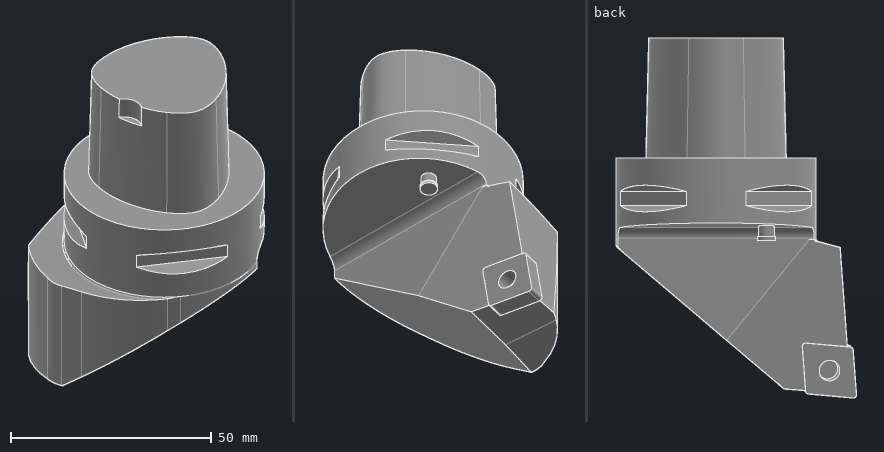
import cadquery as cq
import math

SHANK_HEIGHT = 30.0
SHANK_BASE_RADIUS = 17.55
SHANK_TOP_RADIUS = 16.8
LOBE_HEIGHT = 1.35
LOBE_COUNT = 3
LOBE_HALF_ANGLE = 37
SPLINE_SPANS = 6
KEYWAY_RADIUS = 4.4
KEYWAY_CENTER_Y = -18.2
KEYWAY_DEPTH = 5.5

FLANGE_RADIUS = 50.0 / 2
FLANGE_BOTTOM = -20.4
NECK_FILLET = 0.45
SHOULDER_ANGLE = 15
GRIP_FLOOR_DISTANCE = 22.1
GRIP_CENTER_Z = -10.2
GRIP_ANGLES = (45, 135, 225, 315)
GRIP_FLOOR_WIDTH = 3.5
GRIP_MOUTH_WIDTH = 6.7

BACK_Y = 5.0
RELIEF_FILLET = 2.7
RELIEF_INNER_Z = -17.55
RELIEF_OUTER_Z = -16.3

HEAD_BOTTOM = -63
HEAD_FRONT_Y = -28.5
HEAD_RIGHT_START = (17.0, -18.4)
HEAD_RIGHT_ARC_START = (14.6, -20.5)
HEAD_RIGHT_ARC_MIDDLE = (5.0, -26.5)
HEAD_FRONT_RIGHT_X = -5.9
HEAD_FRONT_LEFT_X = -12.0
HEAD_BLEND_MIDDLE = (-14.6, -28.2)
HEAD_BLEND_END = (-17.0, -27.1)
HEAD_LEFT_ARC_MIDDLE = (-29.2, -17.4)
HEAD_LEFT_ARC_END = (-33.3, -10.1)
HEAD_LEFT_X = -37.8
FLANK_POINT = (-31.05, 3.8, -22.8)
FLANK_NORMAL = (-1, -0.085, 0.082)
RAKE_POINT = (-17.0, 1.8, -57.8)
RAKE_NORMAL = (-0.133, 1, -0.109)
END_POINT = (-17.0, 1.7, -57.8)
END_NORMAL = (0.09, -0.126, -1)
END_RELIEF_POINT = (-17.0, -27.1, -53.4)
END_RELIEF_NORMAL = (0.09, -0.188, -1)
SLOPE_NORMAL = (0.85, -0.02, -1)

NOZZLE_X = -12.6
NOZZLE_Y = 13.1
NOZZLE_DIAMETER = 4.0
NOZZLE_TIP_DIAMETER = 4.4
NOZZLE_TIP_TOP = -19.7
NOZZLE_END = -20.6

INSERT_SIDE = 12.9
INSERT_ANGLE = 80
INSERT_THICKNESS = 4.8
INSERT_CORNER_RADIUS = 0.8
INSERT_HOLE_DIAMETER = 5.1
CUTTING_REACH_X = -35.1
CUTTING_REACH_Z = -60.0
CORNER_LOSS_X = 0.068
CORNER_LOSS_Z = 0.083
INSERT_CORNER = (CUTTING_REACH_X - CORNER_LOSS_X, 0, CUTTING_REACH_Z - CORNER_LOSS_Z)
INSERT_TILT = 0.105
INSERT_LEAD = 0.09

BLOCK = 180


def material_beyond(point, normal):
    """Large block on the outer side of a plane, for trimming."""
    return cq.Workplane(cq.Plane(origin=point, normal=normal)).rect(BLOCK, BLOCK).extrude(BLOCK)


def trilobe_point(mean_radius, angle, z):
    """Point of the constant-width outline whose outward normal has this angle."""
    reach = mean_radius - LOBE_HEIGHT * math.sin(LOBE_COUNT * angle)
    shift = -LOBE_COUNT * LOBE_HEIGHT * math.cos(LOBE_COUNT * angle)
    return cq.Vector(
        reach * math.cos(angle) - shift * math.sin(angle),
        reach * math.sin(angle) + shift * math.cos(angle),
        z,
    )


def trilobe_edge(mean_radius, start, end, z):
    angles = [start + (end - start) * i / SPLINE_SPANS for i in range(SPLINE_SPANS + 1)]
    points = [trilobe_point(mean_radius, angle, z) for angle in angles]
    tangents = [cq.Vector(-math.sin(angle), math.cos(angle), 0) for angle in (start, end)]
    return cq.Edge.makeSpline(points, tangents=tangents)


def trilobe_wire(mean_radius, z):
    """Closed outline of lobes and flatter sides, with one lobe pointing to +Y."""
    pitch = 2 * math.pi / LOBE_COUNT
    half_lobe = math.radians(LOBE_HALF_ANGLE)
    edges = []
    for i in range(LOBE_COUNT):
        lobe_angle = math.pi / 2 + i * pitch
        lobe_end = lobe_angle + half_lobe
        next_lobe_start = lobe_angle + pitch - half_lobe
        edges.append(trilobe_edge(mean_radius, lobe_angle - half_lobe, lobe_end, z))
        edges.append(trilobe_edge(mean_radius, lobe_end, next_lobe_start, z))
    return cq.Wire.assembleEdges(edges)


def make_shank():
    base = trilobe_wire(SHANK_BASE_RADIUS, 0)
    top = trilobe_wire(SHANK_TOP_RADIUS, SHANK_HEIGHT)
    shank = cq.Workplane(cq.Solid.makeLoft([base, top]))
    keyway = (
        cq.Workplane("XY", origin=(0, KEYWAY_CENTER_Y, SHANK_HEIGHT - KEYWAY_DEPTH))
        .circle(KEYWAY_RADIUS)
        .extrude(KEYWAY_DEPTH)
    )
    return shank.cut(keyway)


def make_gripper_groove(angle):
    floor = GRIP_FLOOR_WIDTH / 2
    mouth = GRIP_MOUTH_WIDTH / 2
    return (
        cq.Workplane("XZ", origin=(0, 0, GRIP_CENTER_Z))
        .moveTo(GRIP_FLOOR_DISTANCE, -floor)
        .lineTo(FLANGE_RADIUS, -mouth)
        .lineTo(FLANGE_RADIUS, mouth)
        .lineTo(GRIP_FLOOR_DISTANCE, floor)
        .close()
        .extrude(FLANGE_RADIUS, both=True)
        .rotate((0, 0, 0), (0, 0, 1), angle)
    )


def make_flange():
    flange = cq.Workplane("XY").circle(FLANGE_RADIUS).extrude(FLANGE_BOTTOM)
    for angle in GRIP_ANGLES:
        flange = flange.cut(make_gripper_groove(angle))
    relief = (
        cq.Workplane("YZ")
        .moveTo(BACK_Y, HEAD_BOTTOM)
        .lineTo(BACK_Y, RELIEF_INNER_Z)
        .lineTo(FLANGE_RADIUS, RELIEF_OUTER_Z)
        .lineTo(FLANGE_RADIUS, HEAD_BOTTOM)
        .close()
        .extrude(BLOCK / 2, both=True)
        .edges(cq.selectors.NearestToPointSelector((0, BACK_Y, RELIEF_INNER_Z)))
        .fillet(RELIEF_FILLET)
    )
    return flange.cut(relief)


def make_head_envelope():
    """Space below the neck fillet and the conical shoulder."""
    neck_radius = FLANGE_RADIUS + NECK_FILLET
    neck_bottom = FLANGE_BOTTOM - NECK_FILLET
    rim_radius = 2 * FLANGE_RADIUS
    rim_z = neck_bottom - (rim_radius - neck_radius) * math.tan(math.radians(SHOULDER_ANGLE))
    fillet_middle = NECK_FILLET * (1 - math.sqrt(0.5))
    return (
        cq.Workplane("XZ")
        .moveTo(0, FLANGE_BOTTOM)
        .lineTo(FLANGE_RADIUS, FLANGE_BOTTOM)
        .threePointArc(
            (FLANGE_RADIUS + fillet_middle, neck_bottom + fillet_middle),
            (neck_radius, neck_bottom),
        )
        .lineTo(rim_radius, rim_z)
        .lineTo(rim_radius, HEAD_BOTTOM)
        .lineTo(0, HEAD_BOTTOM)
        .close()
        .revolve(360, (0, 0, 0), (0, 1, 0))
    )


def make_head():
    back_x = math.sqrt(FLANGE_RADIUS**2 - BACK_Y**2)
    head = (
        cq.Workplane("XY", origin=(0, 0, FLANGE_BOTTOM))
        .moveTo(HEAD_LEFT_X, BACK_Y)
        .lineTo(back_x, BACK_Y)
        .threePointArc((FLANGE_RADIUS, 0), HEAD_RIGHT_START)
        .lineTo(*HEAD_RIGHT_ARC_START)
        .threePointArc(HEAD_RIGHT_ARC_MIDDLE, (HEAD_FRONT_RIGHT_X, HEAD_FRONT_Y))
        .lineTo(HEAD_FRONT_LEFT_X, HEAD_FRONT_Y)
        .threePointArc(HEAD_BLEND_MIDDLE, HEAD_BLEND_END)
        .threePointArc(HEAD_LEFT_ARC_MIDDLE, HEAD_LEFT_ARC_END)
        .lineTo(HEAD_LEFT_X, 0)
        .close()
        .extrude(HEAD_BOTTOM - FLANGE_BOTTOM)
        .intersect(make_head_envelope())
    )
    trims = (
        (FLANK_POINT, FLANK_NORMAL),
        (RAKE_POINT, RAKE_NORMAL),
        (END_POINT, END_NORMAL),
        (END_RELIEF_POINT, END_RELIEF_NORMAL),
        (END_POINT, SLOPE_NORMAL),
    )
    for point, normal in trims:
        head = head.cut(material_beyond(point, normal))
    return head


def make_nozzle():
    embed_z = GRIP_CENTER_Z
    stem = (
        cq.Workplane("XY", origin=(NOZZLE_X, NOZZLE_Y, embed_z))
        .circle(NOZZLE_DIAMETER / 2)
        .extrude(NOZZLE_TIP_TOP - embed_z)
    )
    tip = (
        cq.Workplane("XY", origin=(NOZZLE_X, NOZZLE_Y, NOZZLE_TIP_TOP))
        .circle(NOZZLE_TIP_DIAMETER / 2)
        .extrude(NOZZLE_END - NOZZLE_TIP_TOP)
    )
    return stem.union(tip)


def make_insert_shapes():
    """Insert without its hole, which is also the shape of its pocket, and the hole."""
    plane = cq.Plane(
        origin=INSERT_CORNER,
        xDir=(1, INSERT_TILT * (1 + INSERT_LEAD), INSERT_LEAD),
        normal=(-INSERT_TILT, 1, -INSERT_TILT),
    )
    side_x = INSERT_SIDE * math.cos(math.radians(INSERT_ANGLE))
    side_y = -INSERT_SIDE * math.sin(math.radians(INSERT_ANGLE))
    blank = (
        cq.Workplane(plane)
        .polyline([(0, 0), (INSERT_SIDE, 0), (INSERT_SIDE + side_x, side_y), (side_x, side_y)])
        .close()
        .extrude(-INSERT_THICKNESS)
    )
    blank = blank.edges(cq.selectors.ParallelDirSelector(plane.zDir)).fillet(INSERT_CORNER_RADIUS)
    hole = (
        cq.Workplane(plane)
        .center((INSERT_SIDE + side_x) / 2, side_y / 2)
        .circle(INSERT_HOLE_DIAMETER / 2)
        .extrude(-INSERT_THICKNESS)
    )
    return blank, hole


insert_blank, insert_hole = make_insert_shapes()
insert = insert_blank.cut(insert_hole)
holder = make_shank().union(make_flange()).union(make_head()).union(make_nozzle())
holder = holder.cut(insert_blank)

result = cq.Compound.makeCompound([holder.val(), insert.val()])